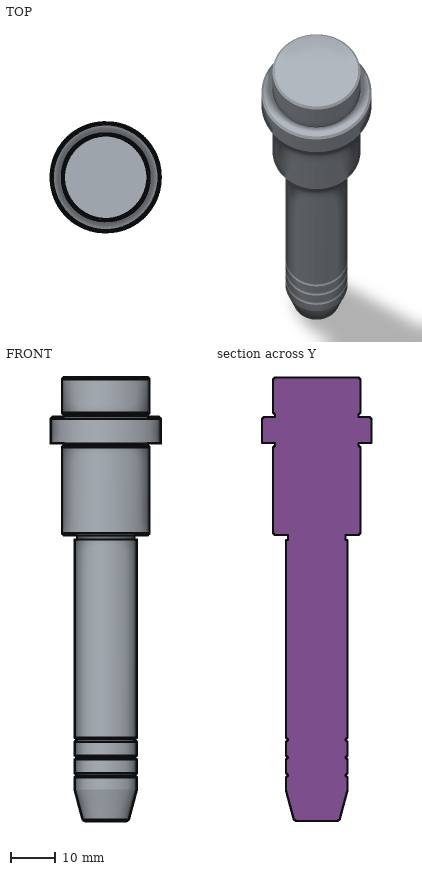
import cadquery as cq
import math

length = 101.0
collar_top = 92.0
collar_bottom = 86.0
sleeve_bottom = 65.0
nose_height = 7.2

head_radius = 10.0
collar_radius = 12.5
shaft_radius = 7.1

edge_chamfer = 0.5
tip_chamfer = 0.5
nose_angle = 15.0
relief_width = 0.5
relief_depth = 0.4
neck_width = 1.0
neck_depth = 0.5

groove_count = 3
groove_pitch = 4.0
groove_depth = 0.5
first_groove_height = 10.5


def cylinder(radius, bottom, top):
    return cq.Workplane("XY").workplane(offset=bottom).circle(radius).extrude(top - bottom)


def make_nose():
    """Tapered tip with a small chamfer at its end."""
    tip_radius = shaft_radius - nose_height * math.tan(math.radians(nose_angle))
    outline = [(0, 0), (tip_radius, 0), (shaft_radius, nose_height), (0, nose_height)]
    cone = cq.Workplane("XZ").polyline(outline).close().revolve(360, (0, 0), (0, 1))
    return cone.faces("<Z").chamfer(tip_chamfer)


def make_v_groove(height):
    """Ring with a 45 degree V section, opening at the shaft surface."""
    section = [
        (shaft_radius, height - groove_depth),
        (shaft_radius - groove_depth, height),
        (shaft_radius, height + groove_depth),
    ]
    return cq.Workplane("XZ").polyline(section).close().revolve(360, (0, 0), (0, 1))


relief_radius = head_radius - relief_depth

head = cylinder(head_radius, collar_top + relief_width, length)
head = head.faces(">Z").chamfer(edge_chamfer).faces("<Z").chamfer(relief_depth)
head = head.union(cylinder(relief_radius, collar_top, collar_top + relief_width))

collar = cylinder(collar_radius, collar_bottom, collar_top).faces(">Z").chamfer(edge_chamfer)

sleeve = cylinder(head_radius, sleeve_bottom, collar_bottom - relief_width)
sleeve = sleeve.faces("<Z").chamfer(edge_chamfer).faces(">Z").chamfer(relief_depth)
sleeve = sleeve.union(cylinder(relief_radius, collar_bottom - relief_width, collar_bottom))

neck_bottom = sleeve_bottom - neck_width
neck = cylinder(shaft_radius - neck_depth, neck_bottom, sleeve_bottom)
shaft = cylinder(shaft_radius, nose_height, neck_bottom).union(neck)
for index in range(groove_count):
    shaft = shaft.cut(make_v_groove(first_groove_height + index * groove_pitch))

result = make_nose().union(shaft).union(sleeve).union(collar).union(head)